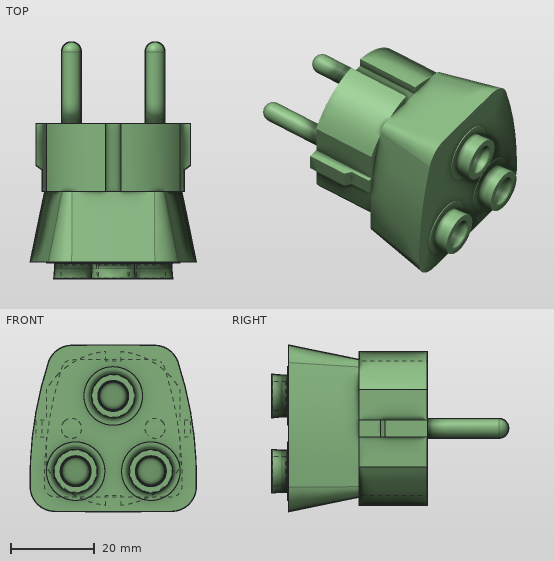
import cadquery as cq
import math


BODY_LENGTH = 16.3
BODY_RADIUS = 18.5
BODY_HALF_WIDTH = 16.0
EARTH_SLOT_WIDTH = 3.75
EARTH_SLOT_DEPTH = 2.4

KEY_HEIGHT = 4.1
KEY_REACH = BODY_RADIUS
KEY_LOW_REACH = 17.0
KEY_LOW_LENGTH = 5.1
KEY_RAMP_LENGTH = 1.1

PIN_RADIUS = 2.4
PIN_SPACING = 20.0
PIN_LENGTH = 19.5

HOUSING_LENGTH = 16.94
HOUSING_HALF_WIDTH = 19.94
HOUSING_HALF_HEIGHT = 19.98
EDGE_CROWN = 0.15
SIDE_RADIUS = 90.0
WIDEST_Z = -12.0
CORNER_RADIUS = 6.0
HOUSING_INSET = 3.5
HOUSING_TAPER = math.degrees(math.atan(HOUSING_INSET / HOUSING_LENGTH))

RECEPTACLE_SPACING = 18.0
RECEPTACLE_RISE = 18.0
LOWER_RECEPTACLE_Z = -10.25
RING_RADIUS = 7.0
RING_HEIGHT = 0.2
SLEEVE_HEIGHT = 4.0
SLEEVE_RADIUS = 5.05
SLEEVE_LIP_RADIUS = 5.25
SLEEVE_STRAIGHT_HEIGHT = 1.5
SLEEVE_FOOT = 0.15
SLEEVE_LIP_HEIGHT = 0.2
BORE_RADIUS = 3.5
BORE_DEPTH = 3.5
BORE_BEVEL = 0.2


def side_half_width(z):
    """Half width of the housing's bowed side at height z."""
    return HOUSING_HALF_WIDTH - SIDE_RADIUS + math.sqrt(SIDE_RADIUS**2 - (z - WIDEST_Z) ** 2)


def make_body():
    """Cylinder with two side flats and an earth slot along its top and bottom."""
    body = cq.Workplane("XZ").circle(BODY_RADIUS).extrude(-BODY_LENGTH)
    flats = cq.Workplane("XZ").rect(2 * BODY_HALF_WIDTH, 2 * BODY_RADIUS).extrude(-BODY_LENGTH)
    slot_offset = BODY_RADIUS - EARTH_SLOT_DEPTH / 2
    slots = (
        cq.Workplane("XZ")
        .pushPoints([(0, slot_offset), (0, -slot_offset)])
        .rect(EARTH_SLOT_WIDTH, EARTH_SLOT_DEPTH)
        .extrude(-BODY_LENGTH)
    )
    return body.intersect(flats).cut(slots)


def make_keys():
    """Both guide keys as one bar across the body."""
    half_outline = [
        (KEY_LOW_REACH, 0),
        (KEY_LOW_REACH, KEY_LOW_LENGTH),
        (KEY_REACH, KEY_LOW_LENGTH + KEY_RAMP_LENGTH),
        (KEY_REACH, BODY_LENGTH),
    ]
    mirrored = [(-x, y) for x, y in reversed(half_outline)]
    return (
        cq.Workplane("XY")
        .polyline(half_outline + mirrored)
        .close()
        .extrude(KEY_HEIGHT / 2, both=True)
    )


def make_pin(x):
    """Round pin with a hemispherical tip, rooted at the body's -Y end."""
    tip_centre_y = BODY_LENGTH + PIN_LENGTH - PIN_RADIUS
    shank = cq.Workplane("XZ").center(x, 0).circle(PIN_RADIUS).extrude(-tip_centre_y)
    tip = cq.Workplane("XY").sphere(PIN_RADIUS).translate((x, tip_centre_y, 0))
    return shank.union(tip)


def make_housing():
    """Rounded trapezoid with bowed sides, drafted inwards towards the plug body."""
    corner_z = HOUSING_HALF_HEIGHT - EDGE_CROWN
    top_x = side_half_width(corner_z)
    bottom_x = side_half_width(-corner_z)
    middle_x = side_half_width(0)
    outline = (
        cq.Sketch()
        .arc((-top_x, corner_z), (0, HOUSING_HALF_HEIGHT), (top_x, corner_z))
        .arc((top_x, corner_z), (middle_x, 0), (bottom_x, -corner_z))
        .arc((bottom_x, -corner_z), (0, -HOUSING_HALF_HEIGHT), (-bottom_x, -corner_z))
        .arc((-bottom_x, -corner_z), (-middle_x, 0), (-top_x, corner_z))
        .assemble()
        .vertices()
        .fillet(CORNER_RADIUS)
    )
    large_end = cq.Workplane("XZ", origin=(0, -HOUSING_LENGTH, 0))
    return large_end.placeSketch(outline).extrude(-HOUSING_LENGTH, taper=HOUSING_TAPER)


def make_receptacle(x, z):
    """Ring, sleeve and blind bore revolved about the receptacle axis.

    Profile points are (radius, height above the housing face); the ring is
    sunk into the housing by its own height so that the two fuse.
    """
    floor = SLEEVE_HEIGHT - BORE_DEPTH
    profile = [
        (0, -RING_HEIGHT),
        (RING_RADIUS, -RING_HEIGHT),
        (RING_RADIUS, RING_HEIGHT),
        (SLEEVE_RADIUS + SLEEVE_FOOT, RING_HEIGHT),
        (SLEEVE_RADIUS, RING_HEIGHT + SLEEVE_FOOT),
        (SLEEVE_RADIUS, SLEEVE_STRAIGHT_HEIGHT),
        (SLEEVE_LIP_RADIUS, SLEEVE_HEIGHT - SLEEVE_LIP_HEIGHT),
        (SLEEVE_LIP_RADIUS, SLEEVE_HEIGHT),
        (BORE_RADIUS + BORE_BEVEL, SLEEVE_HEIGHT),
        (BORE_RADIUS, SLEEVE_HEIGHT - BORE_BEVEL),
        (BORE_RADIUS, floor + BORE_BEVEL),
        (BORE_RADIUS - BORE_BEVEL, floor),
        (0, floor),
    ]
    full_turn = 360
    face_y = -HOUSING_LENGTH
    outline = [(radius, -height) for radius, height in profile]
    receptacle = cq.Workplane("XY").polyline(outline).close().revolve(full_turn, (0, 0), (0, 1))
    return receptacle.translate((x, face_y, z))


result = make_body().union(make_keys()).union(make_housing())

for pin_x in (-PIN_SPACING / 2, PIN_SPACING / 2):
    result = result.union(make_pin(pin_x))

receptacle_places = [
    (0, LOWER_RECEPTACLE_Z + RECEPTACLE_RISE),
    (-RECEPTACLE_SPACING / 2, LOWER_RECEPTACLE_Z),
    (RECEPTACLE_SPACING / 2, LOWER_RECEPTACLE_Z),
]
for place_x, place_z in receptacle_places:
    result = result.union(make_receptacle(place_x, place_z))